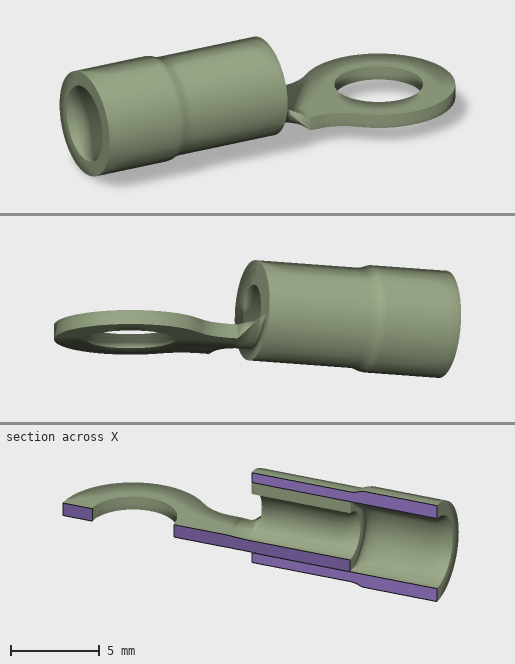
import cadquery as cq
import math

total_length = 23.0

mouth_radius = 3.025
grip_radius = 2.83
sleeve_length = 11.4
mouth_length = 4.45
shoulder_middle = 4.8
shoulder_end = 5.34
shoulder_share = (shoulder_end - shoulder_middle) / (shoulder_end - mouth_length)
shoulder_middle_radius = grip_radius + (mouth_radius - grip_radius) * shoulder_share

barrel_radius = 2.18
bore_radius = 1.45
barrel_start = shoulder_end
seam_width = 0.05

plate_thickness = 0.8
plate_bottom = -barrel_radius
plate_top = plate_bottom + plate_thickness
ring_radius = 8.62 / 2
hole_radius = 5.0 / 2
ring_center = total_length - ring_radius
neck_half_width = 2.32
neck_start = 13.13
neck_fillet = 2.88

trough_middle = 11.65
trough_middle_rim = -0.83
trough_end_rim = -0.65


def make_sleeve():
    """Revolve the wall, with its S-shaped shoulder, about the Y axis, fitting closely round the barrel."""
    return (
        cq.Workplane("XY")
        .moveTo(barrel_radius, 0)
        .lineTo(mouth_radius, 0)
        .lineTo(mouth_radius, mouth_length)
        .tangentArcPoint((shoulder_middle_radius, shoulder_middle), relative=False)
        .tangentArcPoint((grip_radius, shoulder_end), relative=False)
        .lineTo(grip_radius, sleeve_length)
        .lineTo(barrel_radius, sleeve_length)
        .close()
        .revolve(360, (0, 0, 0), (0, 1, 0))
    )


def make_plate():
    """Ring with a hole, blended into a straight neck by two concave arcs."""
    fillet_x = neck_half_width + neck_fillet
    center_distance = ring_radius + neck_fillet
    fillet_y = ring_center - math.sqrt(center_distance**2 - fillet_x**2)
    ring_share = ring_radius / center_distance
    tangent_x = fillet_x * ring_share
    tangent_y = ring_center + (fillet_y - ring_center) * ring_share

    half_turn = math.atan2(tangent_y - fillet_y, fillet_x - tangent_x) / 2
    blend_x = fillet_x - neck_fillet * math.cos(half_turn)
    blend_y = fillet_y + neck_fillet * math.sin(half_turn)

    return (
        cq.Workplane("XY", origin=(0, 0, plate_bottom))
        .moveTo(-neck_half_width, neck_start)
        .lineTo(neck_half_width, neck_start)
        .lineTo(neck_half_width, fillet_y)
        .threePointArc((blend_x, blend_y), (tangent_x, tangent_y))
        .threePointArc((0, total_length), (-tangent_x, tangent_y))
        .threePointArc((-blend_x, blend_y), (-neck_half_width, fillet_y))
        .close()
        .extrude(plate_thickness)
        .cut(
            cq.Workplane("XY", origin=(0, ring_center, plate_bottom))
            .circle(hole_radius)
            .extrude(plate_thickness)
        )
    )


def make_barrel():
    """Rolled tube whose edges meet at a narrow seam along the top."""
    length = sleeve_length - barrel_start
    tube = (
        cq.Workplane("XZ", origin=(0, barrel_start, 0))
        .circle(barrel_radius)
        .circle(bore_radius)
        .extrude(-length)
    )
    seam = cq.Workplane("XY", origin=(0, barrel_start, 0)).box(
        seam_width, length, barrel_radius, centered=(True, False, False)
    )
    return tube.cut(seam)


def neck_section():
    """Edges of the rectangular section at the neck: left side, bottom, right side, top."""
    corners = [
        (-neck_half_width, plate_top),
        (-neck_half_width, plate_bottom),
        (neck_half_width, plate_bottom),
        (neck_half_width, plate_top),
    ]
    points = [cq.Vector(x, neck_start, z) for x, z in corners]
    return [cq.Edge.makeLine(start, end) for start, end in zip(points, points[1:] + points[:1])]


def trough_section(y, rim):
    """Edges of an open tube section cut off at the rim: left rim, outside, right rim, bore."""
    outer_x = math.sqrt(barrel_radius**2 - rim**2)
    bore_x = math.sqrt(bore_radius**2 - rim**2)
    left_bore = cq.Vector(-bore_x, y, rim)
    left_outer = cq.Vector(-outer_x, y, rim)
    right_outer = cq.Vector(outer_x, y, rim)
    right_bore = cq.Vector(bore_x, y, rim)
    return [
        cq.Edge.makeLine(left_bore, left_outer),
        cq.Edge.makeThreePointArc(left_outer, cq.Vector(0, y, -barrel_radius), right_outer),
        cq.Edge.makeLine(right_outer, right_bore),
        cq.Edge.makeThreePointArc(right_bore, cq.Vector(0, y, -bore_radius), left_bore),
    ]


def make_trough():
    """Open tube that flattens towards the neck, with straight lines joining matching edges."""
    sections = [
        neck_section(),
        trough_section(trough_middle, trough_middle_rim),
        trough_section(sleeve_length, trough_end_rim),
    ]
    faces = [
        cq.Face.makeFromWires(cq.Wire.assembleEdges(section))
        for section in (sections[0], sections[-1])
    ]
    for near_edges, far_edges in zip(sections, sections[1:]):
        for near_edge, far_edge in zip(near_edges, far_edges):
            faces.append(cq.Face.makeRuledSurface(near_edge, far_edge))
    return cq.Workplane(cq.Solid.makeSolid(cq.Shell.makeShell(faces)).fix())


sleeve = make_sleeve()
terminal = make_plate().union(make_trough()).union(make_barrel())

result = cq.Compound.makeCompound([sleeve.val(), terminal.solids().val()])